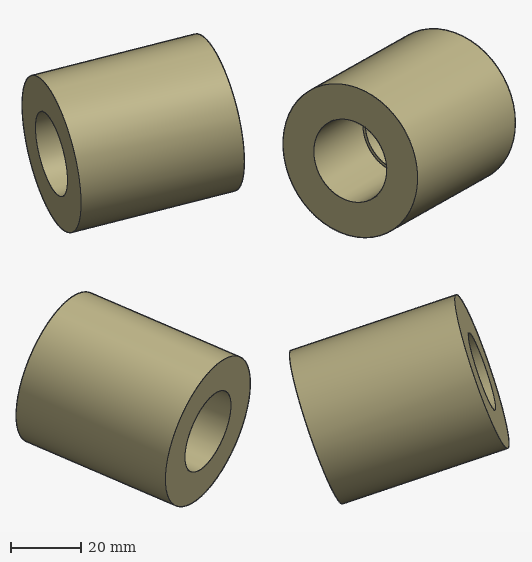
import cadquery as cq

outer_diameter = 46.25
length = 50.0

wide_bore_diameter = 25.0
narrow_bore_diameter = 23.25
wide_bore_depth = length / 2


def cylinder_along_y(diameter, start_y, height):
    """Cylinder on the Y axis that runs from start_y toward +Y."""
    base = cq.Workplane("XZ", origin=(0, start_y, 0))
    return base.circle(diameter / 2).extrude(-height)


front_y = -length / 2

body = cylinder_along_y(outer_diameter, front_y, length)
wide_bore = cylinder_along_y(wide_bore_diameter, front_y, wide_bore_depth)
narrow_bore = cylinder_along_y(narrow_bore_diameter, front_y, length)

result = body.cut(narrow_bore).cut(wide_bore)